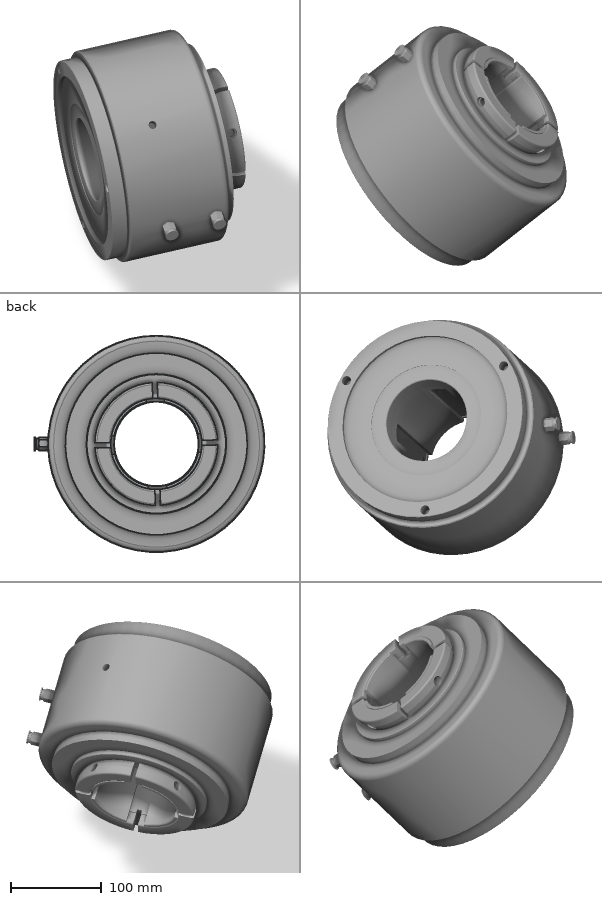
import cadquery as cq
import math


housing_diameter = 238.0
housing_radius = housing_diameter / 2
flange_radius = 112.5
neck_radius = 75.1
rear_step_radius = 100.0
rear_boss_radius = 77.0
collar_radius = 67.5
collar_foot_radius = 64.8
recess_radius = 95.1
front_disc_radius = 63.2
sleeve_outer_radius = 50.0
sleeve_bore_radius = 46.3

flange_back = 17.0
housing_front = 19.0
housing_back = 132.5
rear_step_back = 143.0
rear_boss_back = 148.0
collar_mid = 156.9
overall_length = 167.0
overall_width = 253.0

housing_round = 5.8
housing_chamfer = 1.0
flange_chamfer = 0.5
collar_round = 2.0
boss_chamfer = 0.5
recess_depth = 4.5
disc_step = 0.8
sleeve_chamfer = 0.8

bolt_circle_radius = 104.7
bolt_hole_diameter = 10.4
bolt_angles = (30, 150, 270)

sector_count = 4
sector_step = 360 / sector_count
sector_turn = -1.4
collar_slot_width = 5.5
collar_groove_width = 8.9
collar_groove_depth = 1.3
screw_head_diameter = 11.0
screw_head_depth = 6.3
screw_diameter = 8.5
sleeve_slit_width = 20.2
sleeve_slit_start = 41.5

fitting_positions = (62.0, 116.6)
port_diameter = 8.9
port_depth = 10.0
spare_port_angle = 60
hex_sides = 6
hex_across_flats = 13.0
hex_turn = 36
hex_end = 130.0
hex_inner_chamfer = 0.8
hex_outer_chamfer = 1.5
body_radius = 6.0
body_end = 132.0
stem_radius = 5.0
rim_radius = 7.3
rim_start = 132.8
rim_end = overall_width - housing_radius


def axial_cylinder(radius, y_start, y_end):
    """Cylinder about the Y axis between two Y positions."""
    return cq.Workplane("XZ", origin=(0, y_start, 0)).circle(radius).extrude(y_start - y_end)


def turned_about_y(shape, angle):
    """Turn a shape about Y; positive angles go from +X towards +Z."""
    return shape.rotate((0, 0, 0), (0, 1, 0), -angle)


def radial_cylinder(diameter, x_start, x_end, y, angle):
    """Cylinder pointing outwards from the Y axis at the given angle from +X."""
    along_x = cq.Workplane("YZ", origin=(x_start, y, 0)).circle(diameter / 2).extrude(x_end - x_start)
    return turned_about_y(along_x, angle)


def radial_slot(width, reach, y_start, angle):
    """Slot cutter from the Y axis outwards at the given angle, running to the rear end."""
    cutter = (
        cq.Workplane("XY", origin=(0, y_start, 0))
        .box(reach, overall_length - y_start, width, centered=(False, False, True))
    )
    return turned_about_y(cutter, angle)


def make_main_body():
    """Flange, housing and clamp collar in one piece."""
    disc_face = recess_depth + disc_step
    outline = (
        cq.Workplane("YZ")
        .moveTo(disc_face, sleeve_outer_radius)
        .lineTo(disc_face, front_disc_radius)
        .lineTo(recess_depth, front_disc_radius)
        .lineTo(recess_depth, recess_radius)
        .lineTo(0, recess_radius)
        .lineTo(0, flange_radius - flange_chamfer)
        .lineTo(flange_chamfer, flange_radius)
        .lineTo(flange_back - flange_chamfer, flange_radius)
        .lineTo(flange_back, flange_radius - flange_chamfer)
        .lineTo(flange_back, neck_radius)
        .lineTo(housing_front, neck_radius)
        .lineTo(housing_front, housing_radius - housing_chamfer)
        .lineTo(housing_front + housing_chamfer, housing_radius)
        .lineTo(housing_back - housing_round, housing_radius)
        .radiusArc((housing_back, housing_radius - housing_round), housing_round)
        .lineTo(housing_back, rear_step_radius)
        .lineTo(rear_step_back, rear_step_radius)
        .lineTo(rear_step_back, rear_boss_radius)
        .lineTo(rear_boss_back - boss_chamfer, rear_boss_radius)
        .lineTo(rear_boss_back, rear_boss_radius - boss_chamfer)
        .lineTo(rear_boss_back, collar_foot_radius)
        .lineTo(collar_mid, collar_radius)
        .lineTo(overall_length - collar_round, collar_radius)
        .radiusArc((overall_length, collar_radius - collar_round), collar_round)
        .lineTo(overall_length, sleeve_outer_radius + collar_round)
        .radiusArc((overall_length - collar_round, sleeve_outer_radius), collar_round)
        .close()
    )
    body = outline.revolve(360, (0, 0, 0), (1, 0, 0))
    body = cut_bolt_holes(body)
    body = cut_collar(body)
    return cut_ports(body)


def cut_bolt_holes(body):
    for angle in bolt_angles:
        x = bolt_circle_radius * math.cos(math.radians(angle))
        z = bolt_circle_radius * math.sin(math.radians(angle))
        hole = axial_cylinder(bolt_hole_diameter / 2, 0, flange_back)
        body = body.cut(hole.translate((x, 0, z)))
    return body


def cut_collar(body):
    """Groove the collar bore, then split the collar into sectors with a stepped screw hole in each."""
    groove_start = collar_mid - collar_groove_width / 2
    groove_radius = sleeve_outer_radius + collar_groove_depth
    body = body.cut(axial_cylinder(groove_radius, groove_start, groove_start + collar_groove_width))
    head_seat = collar_radius - screw_head_depth
    for i in range(sector_count):
        slot_angle = sector_turn + i * sector_step
        screw_angle = slot_angle + sector_step / 2
        slot = radial_slot(collar_slot_width, collar_radius, rear_boss_back, slot_angle)
        head = radial_cylinder(screw_head_diameter, head_seat, collar_radius, collar_mid, screw_angle)
        shank = radial_cylinder(screw_diameter, sleeve_bore_radius, head_seat, collar_mid, screw_angle)
        body = body.cut(slot).cut(head).cut(shank)
    return body


def cut_ports(body):
    port_floor = housing_radius - port_depth
    for y in fitting_positions:
        body = body.cut(radial_cylinder(port_diameter, port_floor, housing_radius, y, 0))
    spare_y = fitting_positions[0]
    spare_port = radial_cylinder(port_diameter, port_floor, housing_radius, spare_y, spare_port_angle)
    return body.cut(spare_port)


def make_sleeve():
    """Bore sleeve with slits open to the rear, in line with the collar slots."""
    front = recess_depth + disc_step
    chamfered_radius = sleeve_bore_radius + sleeve_chamfer
    outline = (
        cq.Workplane("YZ")
        .moveTo(front, chamfered_radius)
        .lineTo(front, sleeve_outer_radius)
        .lineTo(overall_length, sleeve_outer_radius)
        .lineTo(overall_length, chamfered_radius)
        .lineTo(overall_length - sleeve_chamfer, sleeve_bore_radius)
        .lineTo(front + sleeve_chamfer, sleeve_bore_radius)
        .close()
    )
    sleeve = outline.revolve(360, (0, 0, 0), (1, 0, 0))
    for i in range(sector_count):
        slit_angle = sector_turn + i * sector_step
        sleeve = sleeve.cut(radial_slot(sleeve_slit_width, collar_radius, sleeve_slit_start, slit_angle))
    return sleeve


def make_fitting(y):
    """Hexagonal air fitting on the +X side, plugged into its port."""
    def disc(radius, x_start, x_end):
        return cq.Workplane("YZ", origin=(x_start, 0, 0)).circle(radius).extrude(x_end - x_start)

    corner_diameter = hex_across_flats / math.cos(math.pi / hex_sides)
    hexagon = (
        cq.Workplane("YZ", origin=(housing_radius, 0, 0))
        .polygon(hex_sides, corner_diameter)
        .extrude(hex_end - housing_radius)
    )
    corner_rounding = (
        disc(corner_diameter / 2, housing_radius, hex_end)
        .faces("<X").chamfer(hex_inner_chamfer)
        .faces(">X").chamfer(hex_outer_chamfer)
    )
    hexagon = hexagon.intersect(corner_rounding).rotate((0, 0, 0), (1, 0, 0), hex_turn)
    fitting = (
        hexagon
        .union(disc(port_diameter / 2, housing_radius - port_depth, housing_radius))
        .union(disc(body_radius, hex_end, body_end))
        .union(disc(stem_radius, body_end, rim_start))
        .union(disc(rim_radius, rim_start, rim_end))
    )
    return fitting.translate((0, y, 0))


main_body = make_main_body()
sleeve = make_sleeve()
fittings = [make_fitting(y).val() for y in fitting_positions]
result = cq.Compound.makeCompound([main_body.val(), sleeve.val(), *fittings])